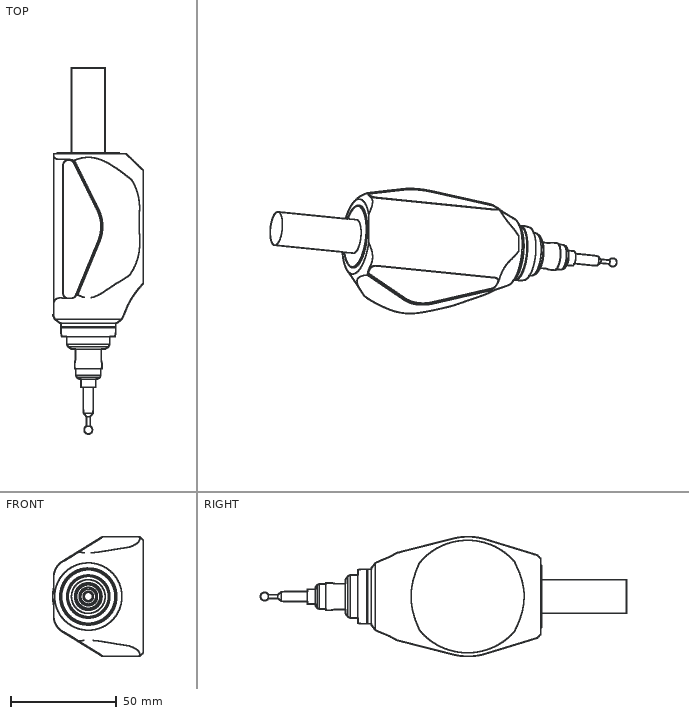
import cadquery as cq
import math

total_length = 174.0
total_width = 43.2
rim_diameter = 34.0
rim_radius = rim_diameter / 2

housing_front = 56.7
housing_rear = 133.3
flat_x = -16.5
back_x = total_width - rim_radius
flat_corner_z = 14.1
flank_angle = 31.6
flat_corner_radius = 9.0
ridge_y = 99.4
ridge_apex_z = 29.5
ridge_radius = 28.5
front_slope = 0.254
rear_slope = 0.306
past_body = 8.7
overlap = 1.7

front_cone_mid = (20.4, 64.0)
front_cone_end = (26.1, 71.5)
barrel_front = (30.6, 75.5)
barrel_middle = (37.4, 99.7)
barrel_rear = (31.0, 120.8)
rear_end_radius = 18.0

panel_front = 64.5
panel_rear = 130.2
panel_foot = 5.2
panel_margin = 1.0
panel_depth = 0.26
panel_corner_radius = 2.6
panel_tip_radius = 15.7

cap_diameter = 30.0
cap_top_diameter = 29.0
cap_height = 0.5
shank_diameter = 16.0

rim_front_radius = 16.0
rim_front = 54.6
shoulder_radius = 13.5
collar_rear = 52.7
groove_rear = 51.0
groove_front = 50.6
collar_taper_start = 48.0
collar_front_radius = 12.7
collar_front = 46.3
second_collar_taper_start = 42.6
second_collar_middle = (9.5, 41.4)
second_collar_tip_radius = 8.0
second_collar_front = 40.4
neck_front = 35.3
band_rear = 33.8
band_front = 31.1
sleeve_taper_start = 28.0
sleeve_middle = (5.5, 27.0)
sleeve_tip_radius = 4.4
sleeve_front = 26.1
holder_front = 22.3
rod_taper_start = 11.8
rod_tip_radius = 2.3
rod_front = 10.0
stem_rear = 8.4
collar_diameter = 26.1
collar_groove_diameter = 26.0
second_collar_diameter = 20.5
neck_diameter = 12.4
band_diameter = 13.0
sleeve_diameter = 12.0
holder_diameter = 7.1
rod_diameter = 4.9
stem_diameter = 2.0
ball_diameter = 4.0
ball_center_y = ball_diameter / 2


def turned(points):
    """Solid of revolution about Y from (radius, y) points that start and end on the axis."""
    return cq.Workplane("XY").polyline(points).close().revolve(360, (0, 0, 0), (0, 1, 0))


def flank_prism():
    """Cross-section along Y: flat at -X, rounded corners and two leaning flanks."""
    flank_end_z = flat_corner_z + (back_x - flat_x) * math.tan(math.radians(flank_angle))
    outline = [
        (flat_x, -flat_corner_z),
        (back_x, -flank_end_z),
        (back_x, flank_end_z),
        (flat_x, flat_corner_z),
    ]
    return (
        cq.Workplane("XZ", origin=(0, housing_front, 0))
        .polyline(outline).close()
        .extrude(-(housing_rear - housing_front))
        .edges("|Y and <X").fillet(flat_corner_radius)
    )


def ridge_prism():
    """Roof shape along X that rises to a rounded ridge on both +Z and -Z."""
    front_y = housing_front - past_body
    rear_y = housing_rear + past_body
    front_z = ridge_apex_z - front_slope * (ridge_y - front_y)
    rear_z = ridge_apex_z - rear_slope * (rear_y - ridge_y)
    outline = [
        (front_y, -front_z),
        (ridge_y, -ridge_apex_z),
        (rear_y, -rear_z),
        (rear_y, rear_z),
        (ridge_y, ridge_apex_z),
        (front_y, front_z),
    ]
    prism = (
        cq.Workplane("YZ", origin=(flat_x, 0, 0))
        .polyline(outline).close()
        .extrude(back_x - flat_x)
    )
    return prism.edges("|X and (>Z or <Z)").fillet(ridge_radius)


def envelope():
    """Turned body: flared front cone, barrel waist and rear cone."""
    return (
        cq.Workplane("XY")
        .moveTo(0, housing_front)
        .lineTo(rim_radius, housing_front)
        .threePointArc(front_cone_mid, front_cone_end)
        .lineTo(*barrel_front)
        .threePointArc(barrel_middle, barrel_rear)
        .lineTo(rear_end_radius, housing_rear)
        .lineTo(0, housing_rear)
        .close()
        .revolve(360, (0, 0, 0), (0, 1, 0))
    )


def panel_recess(side):
    """Recess cutter for the flank on the given Z side: five-cornered, with rounded corners."""
    angle = math.radians(flank_angle)
    plane = cq.Plane(
        origin=(flat_x, 0, side * flat_corner_z),
        xDir=(math.cos(angle), 0, side * math.sin(angle)),
        normal=(-math.sin(angle), 0, side * math.cos(angle)),
    )

    def corner(y, slope):
        """Panel corner below the ridge, as (distance up the flank, side * Y)."""
        ridge_z = ridge_apex_z - slope * abs(y - ridge_y)
        return ((ridge_z - flat_corner_z) / math.sin(angle) - panel_margin, side * y)

    outline = [
        (panel_foot, side * panel_front),
        corner(panel_front, front_slope),
        corner(ridge_y, front_slope),
        corner(panel_rear, rear_slope),
        (panel_foot, side * panel_rear),
    ]
    panel = cq.Workplane(plane).polyline(outline).close().extrude(-panel_depth)
    across = cq.selectors.ParallelDirSelector(plane.zDir)
    panel = panel.edges(across).edges(">X").fillet(panel_tip_radius)
    return panel.edges(across).edges(">Y or <Y").fillet(panel_corner_radius)


def housing():
    body = flank_prism().intersect(ridge_prism()).intersect(envelope())
    for side in (-1, 1):
        body = body.cut(panel_recess(side))
    return body


def rear_end():
    """Low tapered cap with the mounting shank."""
    cap_top = housing_rear + cap_height
    return turned([
        (0, housing_rear - overlap),
        (cap_diameter / 2, housing_rear - overlap),
        (cap_diameter / 2, housing_rear),
        (cap_top_diameter / 2, cap_top),
        (shank_diameter / 2, cap_top),
        (shank_diameter / 2, total_length),
        (0, total_length),
    ])


def nose():
    """Stepped nose from the housing rim down to the stylus stem."""
    return turned([
        (0, housing_front),
        (rim_radius, housing_front),
        (rim_front_radius, rim_front),
        (shoulder_radius, collar_rear),
        (collar_diameter / 2, collar_rear),
        (collar_diameter / 2, groove_rear),
        (collar_groove_diameter / 2, groove_rear),
        (collar_groove_diameter / 2, groove_front),
        (collar_diameter / 2, groove_front),
        (collar_diameter / 2, collar_taper_start),
        (collar_front_radius, collar_front),
        (second_collar_diameter / 2, collar_front),
        (second_collar_diameter / 2, second_collar_taper_start),
        second_collar_middle,
        (second_collar_tip_radius, second_collar_front),
        (neck_diameter / 2, second_collar_front),
        (neck_diameter / 2, neck_front),
        (band_diameter / 2, band_rear),
        (band_diameter / 2, band_front),
        (sleeve_diameter / 2, band_front),
        (sleeve_diameter / 2, sleeve_taper_start),
        sleeve_middle,
        (sleeve_tip_radius, sleeve_front),
        (holder_diameter / 2, sleeve_front),
        (holder_diameter / 2, holder_front),
        (rod_diameter / 2, holder_front),
        (rod_diameter / 2, rod_taper_start),
        (rod_tip_radius, rod_front),
        (stem_diameter / 2, stem_rear),
        (stem_diameter / 2, ball_center_y),
        (0, ball_center_y),
    ])


ball = cq.Workplane("XY", origin=(0, ball_center_y, 0)).sphere(ball_diameter / 2)

result = housing().union(rear_end()).union(nose()).union(ball)